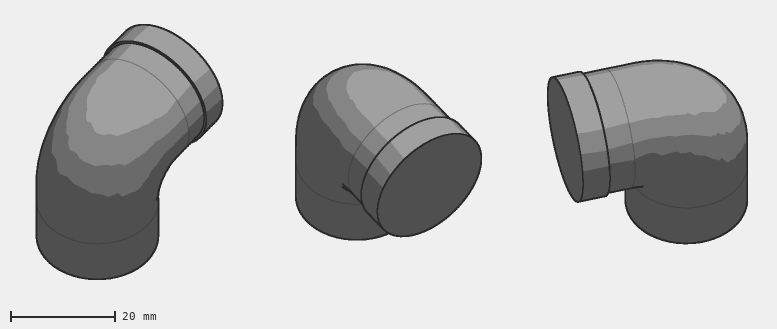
import cadquery as cq
import math

overall_length = 35.95
pipe_diameter = 23.5
collar_diameter = 24.5
collar_length = 5.4
lower_leg_length = 10.0
outer_radius = 18.98
bend_angle = 90
section_steps = 12

pipe_radius = pipe_diameter / 2
collar_radius = collar_diameter / 2
leg_axis_y = pipe_radius - overall_length
arm_axis_z = overall_length - collar_radius

bend_radius = arm_axis_z - lower_leg_length
arm_end_y = leg_axis_y + bend_radius
bend_centre = cq.Vector(0, arm_end_y, lower_leg_length)
throat_radius = bend_radius - pipe_radius
outer_leg = bend_radius + pipe_radius
outer_straight = outer_leg - outer_radius


def make_lower_leg():
    return cq.Workplane("XY").center(0, leg_axis_y).circle(pipe_radius).extrude(lower_leg_length)


def outer_reach(angle):
    """Distance from the bend centre to the back of the elbow, at an angle from the lower leg."""
    off_diagonal = abs(angle - bend_angle / 2)
    from_leg = math.radians(bend_angle / 2 - off_diagonal)
    if outer_leg * math.tan(from_leg) <= outer_straight:
        return outer_leg / math.cos(from_leg)
    arc_centre = outer_straight * math.sqrt(2)
    off_diagonal = math.radians(off_diagonal)
    along = arc_centre * math.cos(off_diagonal)
    across = arc_centre * math.sin(off_diagonal)
    return along + math.sqrt(outer_radius**2 - across**2)


def bend_section(angle):
    """Ellipse of constant width reaching from the throat to the back of the elbow."""
    reach = outer_reach(angle)
    half_depth = (reach - throat_radius) / 2
    distance = (reach + throat_radius) / 2
    turn = math.radians(angle)
    outward = cq.Vector(0, -math.cos(turn), math.sin(turn))
    travel = cq.Vector(0, math.sin(turn), math.cos(turn))
    centre = bend_centre + outward * distance
    return cq.Wire.makeEllipse(half_depth, pipe_radius, centre, travel, outward, rotation_angle=0)


def make_bend():
    sections = [bend_section(bend_angle * i / section_steps) for i in range(section_steps + 1)]
    return cq.Workplane(cq.Solid.makeLoft(sections))


def make_arm(radius, length):
    """Horizontal cylinder reaching from the collar end towards the bend."""
    return cq.Workplane("XZ").center(0, arm_axis_z).circle(radius).extrude(length)


result = (
    make_lower_leg()
    .union(make_bend())
    .union(make_arm(pipe_radius, -arm_end_y))
    .union(make_arm(collar_radius, collar_length))
)